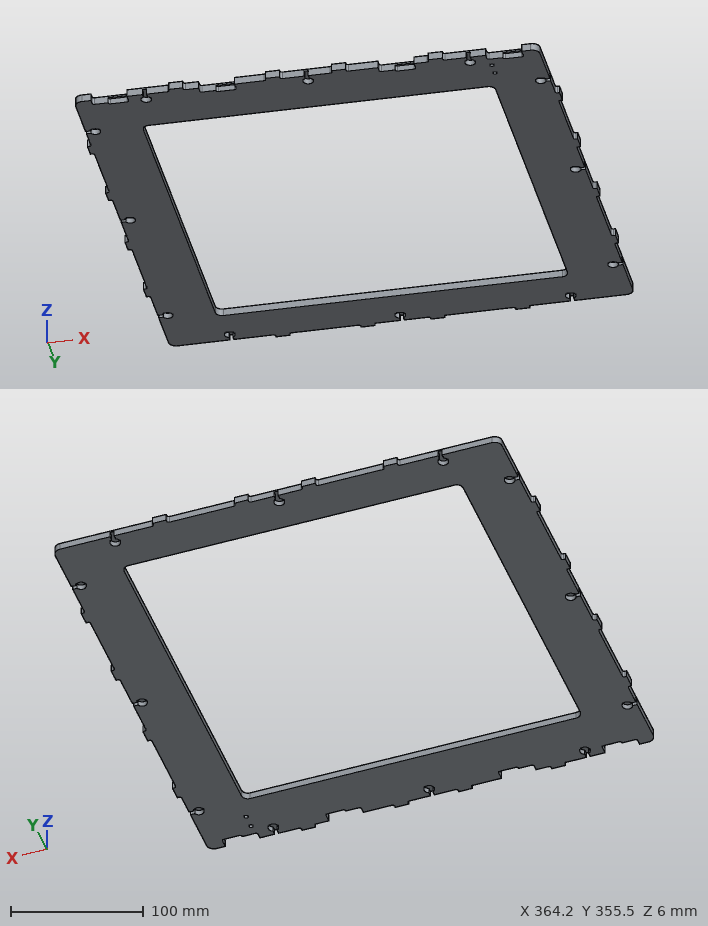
import cadquery as cq
half_thickness = 3.0
thickness = 2 * half_thickness
length_x = 364.2
length_y = 355.5
tab_reach = 3.0
body_x = length_x - 2 * tab_reach
body_y = length_y - 2 * tab_reach
corner_radius = 12.0 / 2

window_size = 271.7
window_center_y = 4.5
window_corner_radius = 5.0

tab_width = 11.0
rear_tab_xs = (-92.5, -27.0, 27.0, 92.5)
front_tab_xs = (-100.0, -25.5, 25.5, 100.0)
side_tab_ys = (-106.7, -40.5, 30.2, 97.2)

notch_width = 27.5
notch_depth = 6.0
notch_xs = (-152.2, -69.2, 69.2, 152.2)

inner_corner_radius = 1.53

roof_thickness = 1.5

undercut_width = 15.5
undercut_depth = 2.0

keyhole_diameter = 8.0
keyhole_inset = 7.3
keyhole_slot_width = 3.1
front_keyhole_xs = (-125.0, 0, 125.0)
rear_keyhole_xs = (-131.5, 0, 131.5)
side_keyhole_ys = (-131.5, -4.7, 131.5)

pair_hole_diameter = 3.1
pair_hole_x = 140.2
pair_hole_ys = (-160.2, -149.5)


def block(size_x, size_y, center_x, center_y):
    """Full-thickness block centred at the given point."""
    return cq.Workplane("XY").box(size_x, size_y, thickness).translate((center_x, center_y, 0))


def disc(diameter, center_x, center_y):
    """Full-thickness round disc centred at the given point."""
    base = cq.Workplane("XY", origin=(center_x, center_y, -half_thickness))
    return base.circle(diameter / 2).extrude(thickness)


def below_roof(cutter):
    """Lower a full-thickness cutter so that it leaves the roof uncut."""
    return cutter.translate((0, 0, -roof_thickness))


def framed_plate():
    plate = block(body_x, body_y, 0, 0).edges("|Z").fillet(corner_radius)
    window = block(window_size, window_size, 0, window_center_y)
    return plate.cut(window.edges("|Z").fillet(window_corner_radius))


def add_tabs(plate):
    for x in rear_tab_xs:
        plate = plate.union(block(tab_width, 2 * tab_reach, x, body_y / 2))
    for x in front_tab_xs:
        plate = plate.union(block(tab_width, 2 * tab_reach, x, -body_y / 2))
    for side in (-1, 1):
        for y in side_tab_ys:
            plate = plate.union(block(2 * tab_reach, tab_width, side * body_x / 2, y))
    return plate


def cut_notches(plate):
    for x in notch_xs:
        plate = plate.cut(block(notch_width, 2 * notch_depth, x, -body_y / 2))
    return plate


def round_inner_corners(plate):
    corners = []
    for end in (-1, 1):
        half_tab = end * tab_width / 2
        corners += [(x + half_tab, body_y / 2) for x in rear_tab_xs]
        corners += [(x + half_tab, -body_y / 2) for x in front_tab_xs]
        corners += [(side * body_x / 2, y + half_tab) for side in (-1, 1) for y in side_tab_ys]
        corners += [(x + end * notch_width / 2, notch_depth - body_y / 2) for x in notch_xs]
    for x, y in corners:
        corner_edge = plate.edges(cq.NearestToPointSelector((x, y, 0)))
        plate = corner_edge.fillet(inner_corner_radius)
    return plate


def cut_undercuts(plate):
    wall_y = notch_depth - body_y / 2
    for x in notch_xs:
        center_x = x + (notch_width - undercut_width) / 2
        cutter = block(undercut_width, 2 * undercut_depth, center_x, wall_y)
        cutter = cutter.edges("|Z and >Y").fillet(inner_corner_radius)
        plate = plate.cut(below_roof(cutter))
    return plate


def cut_keyholes(plate):
    for side, keyhole_xs in ((-1, front_keyhole_xs), (1, rear_keyhole_xs)):
        for x in keyhole_xs:
            round_pocket = disc(keyhole_diameter, x, side * (body_y / 2 - keyhole_inset))
            slot = block(keyhole_slot_width, 2 * keyhole_inset, x, side * body_y / 2)
            plate = plate.cut(below_roof(round_pocket.union(slot)))
    for side in (-1, 1):
        for y in side_keyhole_ys:
            round_pocket = disc(keyhole_diameter, side * (body_x / 2 - keyhole_inset), y)
            slot = block(2 * keyhole_inset, keyhole_slot_width, side * body_x / 2, y)
            plate = plate.cut(below_roof(round_pocket.union(slot)))
    return plate


def cut_pair_holes(plate):
    for y in pair_hole_ys:
        plate = plate.cut(disc(pair_hole_diameter, pair_hole_x, y))
    return plate


result = framed_plate()
result = add_tabs(result)
result = cut_notches(result)
result = round_inner_corners(result)
result = cut_undercuts(result)
result = cut_keyholes(result)
result = cut_pair_holes(result)